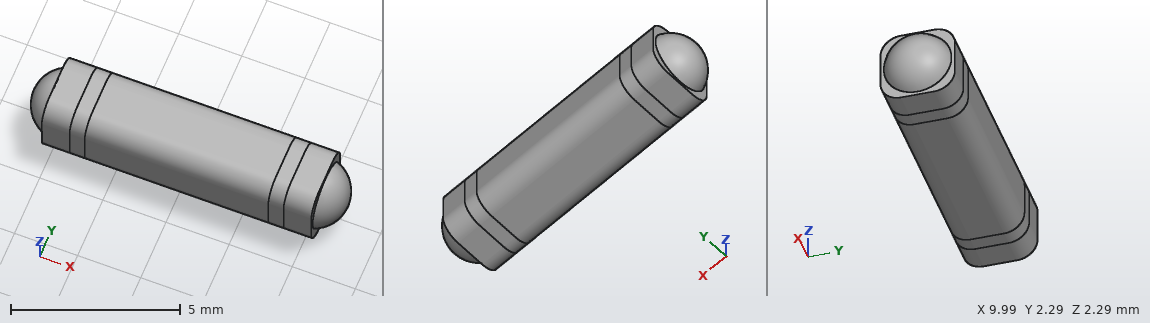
import cadquery as cq

total_length = 9.99
bar_width = 2.29
corner_radius = 0.63

dome_height = 0.73
dome_base_radius = 1.04
dome_radius = (dome_base_radius**2 + dome_height**2) / (2 * dome_height)

end_length = 0.88
spacer_length = 0.48
bar_length = total_length - 2 * dome_height
core_length = bar_length - 2 * (end_length + spacer_length)


def bar_section(start, length):
    """Square bar with rounded long edges, running along +X from start."""
    return (
        cq.Workplane("YZ", origin=(start, 0, 0))
        .rect(bar_width, bar_width)
        .extrude(length)
        .edges("|X")
        .fillet(corner_radius)
    )


def make_core():
    return bar_section(-core_length / 2, core_length)


def make_spacer():
    """Thin section next to the core, on the -X side."""
    return bar_section(-core_length / 2 - spacer_length, spacer_length)


def make_end_cap():
    """End section on the -X side, with a spherical dome on its outer face."""
    block = bar_section(-bar_length / 2, end_length)
    sphere_center = -total_length / 2 + dome_radius
    sphere = cq.Workplane("XY", origin=(sphere_center, 0, 0)).sphere(dome_radius)
    dome_space = cq.Workplane("YZ", origin=(-bar_length / 2, 0, 0))
    dome_space = dome_space.rect(bar_width, bar_width).extrude(-dome_height)
    return block.union(sphere.intersect(dome_space))


bodies = [make_core().val()]
for angle in (0, 180):
    for body in (make_spacer(), make_end_cap()):
        bodies.append(body.rotate((0, 0, 0), (0, 0, 1), angle).val())

result = cq.Compound.makeCompound(bodies)